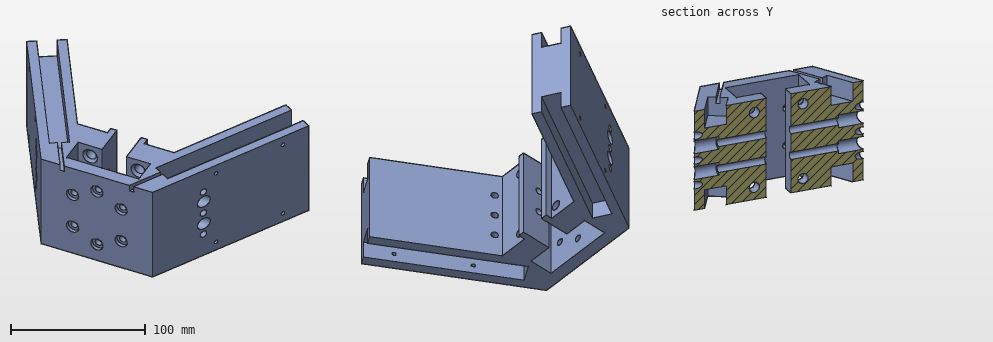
import cadquery as cq
import math

width = 232.0
height = 80.3
arm_angle = 60.0
arm_length = 140.3
arm_thickness = 30.2
cos_a = math.cos(math.radians(arm_angle))
sin_a = math.sin(math.radians(arm_angle))
base_half = width / 2 - arm_length * cos_a

wall = 10.0
cavity_half = 29.7
cavity_back = 30.0
gap_half = 10.0
block_back = 49.6
lip_width = 5.0
lip_back = 55.2

pocket_width = 15.0
pocket_length = 121.8
pocket_depth = 15.0
groove_width = 3.0
groove_depth = 5.0

screw_dia = 5.5
head_dia = 10.0
front_head_depth = 3.0
front_hole_x = 20.0
front_hole_z = 15.0
center_hole_z = 25.0
rear_hole_dia = 8.0
rear_hole_z = 30.2
rear_mouth_dia = 12.0
clamp_hole_z = 10.5
clamp_rise = 0.35
clamp_hole_y = 40.0
clamp_head_depth = 20.0
arm_hole_dia = 5.5
arm_hole_along = 45.7
arm_hole_pitch = 20.0
pin_dia = 3.0
pin_along = (57.0, 117.1)
pin_inset = 7.7

arm_frame = cq.Plane(origin=(base_half, 0, 0), xDir=(cos_a, sin_a, 0), normal=(0, 0, 1))


def outer_x(y):
    """X of the right arm's outer face at a given Y."""
    return base_half + y * cos_a / sin_a


def rod(diameter, start, direction, length):
    """Cylinder starting at a point and running along a direction."""
    return cq.Workplane(cq.Solid.makeCylinder(diameter / 2, length, cq.Vector(*start), cq.Vector(*direction)))


def countersink(mouth_dia, hole_dia, start, direction):
    """45 degree cone narrowing from the mouth to the hole."""
    depth = (mouth_dia - hole_dia) / 2
    cone = cq.Solid.makeCone(mouth_dia / 2, hole_dia / 2, depth, cq.Vector(*start), cq.Vector(*direction))
    return cq.Workplane(cone)


def arm_box(start, length, box_width, bottom, box_height):
    """Box centred across the right arm's thickness, starting at a distance along the arm."""
    return (
        cq.Workplane(arm_frame)
        .workplane(offset=bottom)
        .center(start + length / 2, arm_thickness / 2)
        .rect(length, box_width)
        .extrude(box_height)
    )


def right_body():
    inner_offset = arm_thickness / sin_a
    tip = (width / 2, arm_length * sin_a)
    outline = [
        (0, 0),
        (base_half, 0),
        tip,
        (tip[0] - arm_thickness * sin_a, tip[1] + arm_thickness * cos_a),
        (outer_x(block_back) - inner_offset, block_back),
        (gap_half + lip_width, block_back),
        (gap_half + lip_width, lip_back),
        (gap_half, lip_back),
        (gap_half, cavity_back),
        (cavity_half, cavity_back),
        (cavity_half, wall),
        (0, wall),
    ]
    return cq.Workplane("XY").workplane(offset=-height / 2).polyline(outline).close().extrude(height)


def cut_pockets(body):
    start = arm_length - pocket_length
    for bottom in (height / 2 - pocket_depth, -height / 2):
        body = body.cut(arm_box(start, pocket_length, pocket_width, bottom, pocket_depth))
    groove_bottom = height / 2 - groove_depth
    return body.cut(arm_box(-arm_thickness, arm_thickness + start, groove_width, groove_bottom, groove_depth))


def cut_front_holes(body):
    spots = [(front_hole_x, z) for z in (-front_hole_z, front_hole_z)]
    spots += [(0, z) for z in (-center_hole_z, center_hole_z)]
    for x, z in spots:
        body = body.cut(rod(screw_dia, (x, 0, z), (0, 1, 0), wall))
        body = body.cut(rod(head_dia, (x, 0, z), (0, 1, 0), front_head_depth))
    return body


def cut_block_holes(body):
    face_x = outer_x(clamp_hole_y)
    block_center_x = (gap_half + cavity_half) / 2
    for side in (-1, 1):
        rear_start = (block_center_x, cavity_back, side * rear_hole_z)
        body = body.cut(rod(rear_hole_dia, rear_start, (0, 1, 0), block_back - cavity_back))
        body = body.cut(countersink(rear_mouth_dia, rear_hole_dia, rear_start, (0, 1, 0)))
        clamp_z = clamp_rise + side * clamp_hole_z
        body = body.cut(rod(screw_dia, (0, clamp_hole_y, clamp_z), (1, 0, 0), face_x))
        head_start = (face_x - clamp_head_depth, clamp_hole_y, clamp_z)
        body = body.cut(rod(head_dia, head_start, (1, 0, 0), clamp_head_depth + head_dia))
    return body


def cut_arm_holes(body):
    def drill(part, diameter, along, z, depth):
        start = (base_half + along * cos_a, along * sin_a, z)
        return part.cut(rod(diameter, start, (-sin_a, cos_a, 0), depth))

    for step in (-1, 0, 1):
        body = drill(body, arm_hole_dia, arm_hole_along, step * arm_hole_pitch, arm_thickness)
    pin_z = height / 2 - pin_inset
    for along in pin_along:
        for z in (-pin_z, pin_z):
            body = drill(body, pin_dia, along, z, arm_thickness / 2)
    return body


right_half = cut_arm_holes(cut_block_holes(cut_front_holes(cut_pockets(right_body()))))
result = right_half.union(right_half.mirror("YZ")).clean()